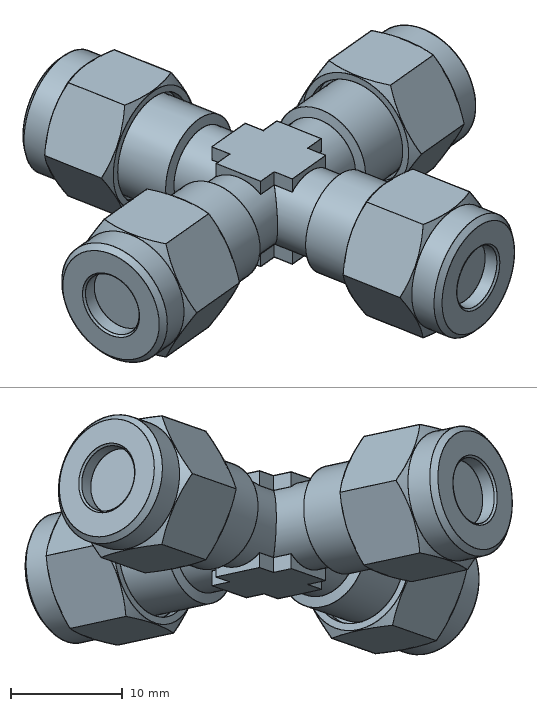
import cadquery as cq
import math

OVERALL_LENGTH = 47.0
ARM_COUNT = 4
ARM_REACH = OVERALL_LENGTH / 2

NECK_RADIUS = 4.0

SLEEVE_RADIUS = 4.95
SLEEVE_START = 7.6
SLEEVE_TAPER_LENGTH = 0.25

NUT_SIDES = 6
NUT_ACROSS_FLATS = 12.0
NUT_ACROSS_CORNERS = NUT_ACROSS_FLATS / math.cos(math.pi / NUT_SIDES)
NUT_LENGTH = 7.5
COLLAR_LENGTH = 3.0
NUT_END = ARM_REACH - COLLAR_LENGTH
NUT_START = NUT_END - NUT_LENGTH
NUT_CHAMFER_ANGLE = math.radians(30)

RECESS_RADIUS = 5.25
RECESS_DEPTH = 0.95

COLLAR_RADIUS = 5.9
COLLAR_CHAMFER = 0.5

SOCKET_RADIUS = 3.0
SOCKET_DEPTH = 1.5
SOCKET_CHAMFER = 0.2

BLOCK_SPAN = 9.02
BLOCK_LIMB_WIDTH = 5.0


def cylinder(radius, start, end):
    """Cylinder along +X between two distances from the centre."""
    return cq.Workplane("YZ", origin=(start, 0, 0)).circle(radius).extrude(end - start)


def revolve_about_arm(profile):
    """Solid of revolution about X from (distance, radius) points; the axis closes the profile."""
    first_distance = profile[0][0]
    last_distance = profile[-1][0]
    return (
        cq.Workplane("XY")
        .polyline([(first_distance, 0), *profile, (last_distance, 0)])
        .close()
        .revolve(360, (0, 0, 0), (1, 0, 0))
    )


def make_nut():
    """Hexagonal prism with both ends coned off and a clearance recess in the inner face."""
    corner_radius = NUT_ACROSS_CORNERS / 2
    chamfer_length = (corner_radius - COLLAR_RADIUS) * math.tan(NUT_CHAMFER_ANGLE)
    prism = (
        cq.Workplane("YZ", origin=(NUT_START, 0, 0))
        .polygon(NUT_SIDES, NUT_ACROSS_CORNERS)
        .extrude(NUT_LENGTH)
    )
    turned_envelope = revolve_about_arm([
        (NUT_START, COLLAR_RADIUS),
        (NUT_START + chamfer_length, corner_radius),
        (NUT_END - chamfer_length, corner_radius),
        (NUT_END, COLLAR_RADIUS),
    ])
    recess = cylinder(RECESS_RADIUS, NUT_START, NUT_START + RECESS_DEPTH)
    return prism.intersect(turned_envelope).cut(recess)


def make_sleeve():
    """Sleeve tapering down to the neck and reaching the floor of the nut recess."""
    return revolve_about_arm([
        (SLEEVE_START, NECK_RADIUS),
        (SLEEVE_START + SLEEVE_TAPER_LENGTH, SLEEVE_RADIUS),
        (NUT_START + RECESS_DEPTH, SLEEVE_RADIUS),
    ])


def make_socket():
    """Cutter for the tube socket, flared at the mouth."""
    floor = ARM_REACH - SOCKET_DEPTH
    return revolve_about_arm([
        (floor, SOCKET_RADIUS),
        (ARM_REACH - SOCKET_CHAMFER, SOCKET_RADIUS),
        (ARM_REACH, SOCKET_RADIUS + SOCKET_CHAMFER),
    ])


def make_arm():
    """One complete arm along +X, starting at the centre."""
    neck = cylinder(NECK_RADIUS, 0, SLEEVE_START)
    collar = cylinder(COLLAR_RADIUS, NUT_END, ARM_REACH).faces(">X").chamfer(COLLAR_CHAMFER)
    return neck.union(make_sleeve()).union(make_nut()).union(collar).cut(make_socket())


def make_block():
    """Central plus-shaped block with flat top and bottom."""
    limb_along_x = cq.Workplane("XY").box(BLOCK_SPAN, BLOCK_LIMB_WIDTH, BLOCK_SPAN)
    limb_along_y = cq.Workplane("XY").box(BLOCK_LIMB_WIDTH, BLOCK_SPAN, BLOCK_SPAN)
    return limb_along_x.union(limb_along_y)


result = make_block()
arm = make_arm()
for index in range(ARM_COUNT):
    angle = index * 360 / ARM_COUNT
    result = result.union(arm.rotate((0, 0, 0), (0, 0, 1), angle))